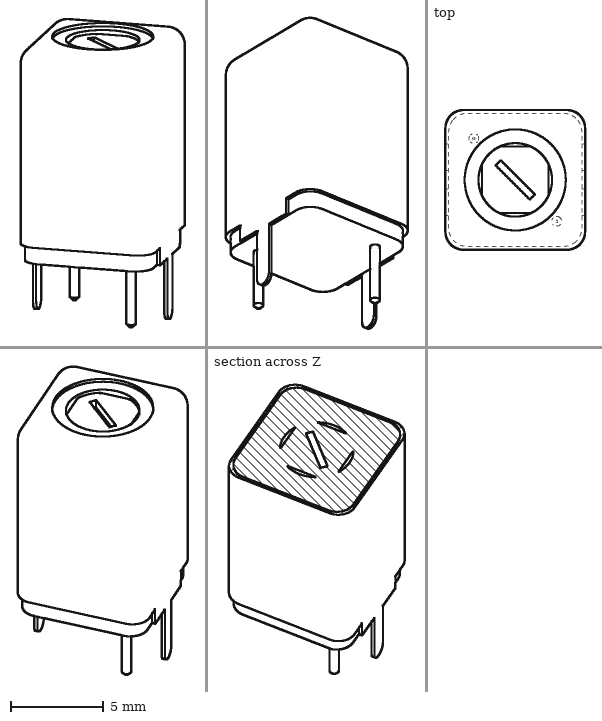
import cadquery as cq

can_width = 7.6
total_height = 15.61
can_bottom = 4.5
edge_radius = 1.0
wall = 0.19
opening_diameter = 5.5

skirt_width = 3.89
tab_width = 1.0

core_width = can_width - 2 * wall
core_bottom = 3.53
core_top = total_height - wall
core_top_radius = edge_radius - wall

well_diameter = 4.0
well_depth = 1.2
slug_across_flats = 3.6
slug_recess = 0.2
slot_length = 2.62
slot_width = 0.39
slot_depth = 0.5
slot_angle = -45

pin_diameter = 0.53
pin_offset = 2.25
pin_tip_chamfer = 0.2


def rounded_block(width, bottom, top, top_radius):
    """Square block with all edges rounded except those around its bottom."""
    return (
        cq.Workplane("XY", origin=(0, 0, bottom))
        .rect(width, width)
        .extrude(top - bottom)
        .edges("|Z")
        .fillet(edge_radius)
        .edges(">Z")
        .fillet(top_radius)
    )


def cylinder(diameter, bottom, top, x=0, y=0):
    return (
        cq.Workplane("XY", origin=(x, y, bottom))
        .circle(diameter / 2)
        .extrude(top - bottom)
    )


def make_tab(outer_x):
    """Wide skirt beside the core, narrowing to a leg with a round end."""
    half_skirt = skirt_width / 2
    half_tab = tab_width / 2
    return (
        cq.Workplane("YZ", origin=(outer_x, 0, 0))
        .moveTo(-half_skirt, can_bottom)
        .lineTo(-half_skirt, core_bottom)
        .lineTo(-half_tab, core_bottom)
        .lineTo(-half_tab, half_tab)
        .threePointArc((0, 0), (half_tab, half_tab))
        .lineTo(half_tab, core_bottom)
        .lineTo(half_skirt, core_bottom)
        .lineTo(half_skirt, can_bottom)
        .close()
        .extrude(wall)
    )


def make_can():
    shell = rounded_block(can_width, can_bottom, total_height, edge_radius)
    shell = shell.cut(rounded_block(core_width, can_bottom, core_top, core_top_radius))
    shell = shell.cut(cylinder(opening_diameter, can_bottom, total_height))
    for outer_x in (-can_width / 2, can_width / 2 - wall):
        shell = shell.union(make_tab(outer_x))
    return shell.clean()


def make_slug():
    """Round slug with four flats and a screwdriver slot."""
    well_floor = core_top - well_depth
    slug_top = core_top - slug_recess
    flats = (
        cq.Workplane("XY", origin=(0, 0, well_floor))
        .rect(slug_across_flats, slug_across_flats)
        .extrude(slug_top - well_floor)
    )
    slot = (
        cq.Workplane("XY", origin=(0, 0, slug_top - slot_depth))
        .transformed(rotate=(0, 0, slot_angle))
        .rect(slot_length, slot_width)
        .extrude(slot_depth)
    )
    return cylinder(well_diameter, well_floor, slug_top).intersect(flats).cut(slot)


def make_pin(x, y):
    return cylinder(pin_diameter, 0, core_bottom, x, y).faces("<Z").chamfer(pin_tip_chamfer)


def make_core():
    """Core with its slug and pins, as one solid."""
    core = rounded_block(core_width, core_bottom, core_top, core_top_radius)
    core = core.cut(cylinder(well_diameter, core_top - well_depth, core_top))
    core = core.union(make_slug())
    for side in (-1, 1):
        core = core.union(make_pin(side * pin_offset, -side * pin_offset))
    return core


can = make_can()
core = make_core()
result = cq.Compound.makeCompound([can.solids().val(), core.solids().val()])